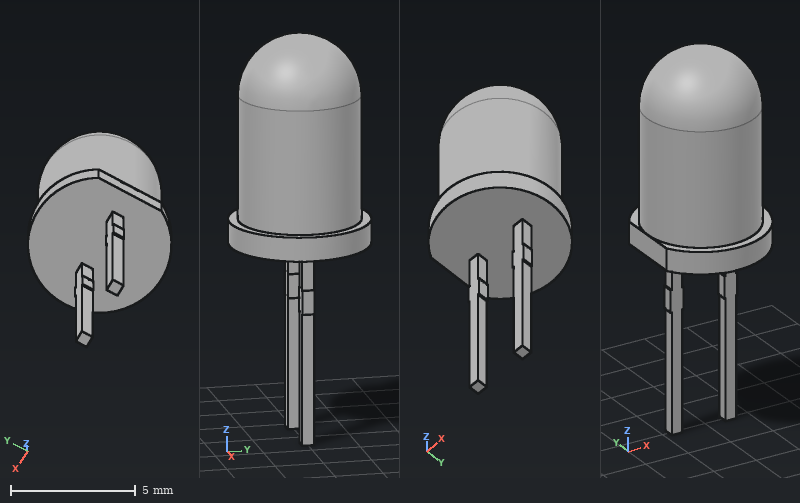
import cadquery as cq
import math

total_height = 16.8
lens_radius = 2.5
flange_diameter = 5.8
flange_radius = flange_diameter / 2
flange_height = 1.0
flat_distance = lens_radius

lead_length = 8.1
lead_size = 0.5
lead_pitch = 2.54
stop_width = 0.6
stop_height = 1.0
stop_top_gap = 1.6

flange_bottom = lead_length
dome_base = total_height - lens_radius


def make_housing():
    """Flange, cylinder and hemispherical dome in one body."""
    half_flat = math.sqrt(flange_radius**2 - flat_distance**2)
    flange = (
        cq.Workplane("XY", origin=(0, 0, flange_bottom))
        .moveTo(-flat_distance, -half_flat)
        .threePointArc((flange_radius, 0), (-flat_distance, half_flat))
        .close()
        .extrude(flange_height)
    )
    lens = (
        cq.Workplane("XZ")
        .moveTo(0, flange_bottom)
        .lineTo(lens_radius, flange_bottom)
        .lineTo(lens_radius, dome_base)
        .radiusArc((0, total_height), -lens_radius)
        .close()
        .revolve(360, (0, 0, 0), (0, 1, 0))
    )
    return flange.union(lens)


def make_lead(x):
    """Square lead centred at x, with its stop widened along X only."""
    wire = (
        cq.Workplane("XY", origin=(x, 0, 0))
        .rect(lead_size, lead_size)
        .extrude(lead_length)
    )
    stop_bottom = lead_length - stop_top_gap - stop_height
    stop = (
        cq.Workplane("XY", origin=(x, 0, stop_bottom))
        .rect(stop_width, lead_size)
        .extrude(stop_height)
    )
    return wire.union(stop)


housing = make_housing()
leads = [make_lead(side * lead_pitch / 2) for side in (-1, 1)]

result = cq.Compound.makeCompound([housing.val(), *[lead.val() for lead in leads]])